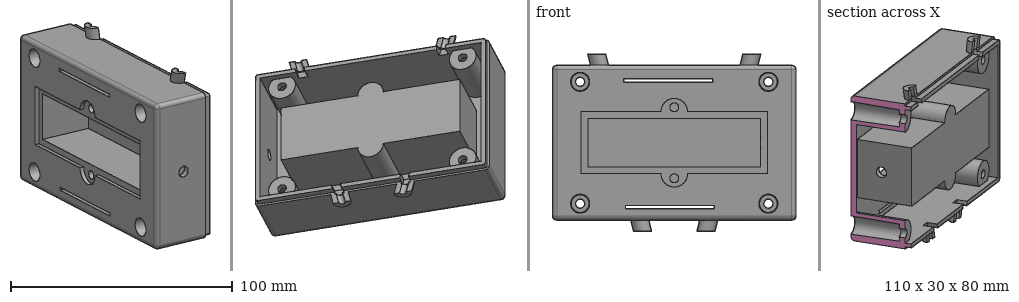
import cadquery as cq
import math

WIDTH = 110.0
DEPTH = 30.0
BODY_HEIGHT = 70.0
OVERALL_HEIGHT = 80.0
EDGE_RADIUS = 2.0
WALL = 3.0

RIM_HEIGHT = 3.0
RIM_INSET = 1.0

FRONT = -DEPTH / 2
BACK = DEPTH / 2
SPLIT = BACK - RIM_HEIGHT

WINDOW_WIDTH = 78.0
WINDOW_HEIGHT = 22.0
LEDGE_WIDTH = 3.0
LEDGE_DEPTH = 2.0
EAR_RADIUS = 6.0
DISPLAY_SCREW_Z = 16.0
DISPLAY_SCREW_RADIUS = 2.0
DISPLAY_SCREW_DEPTH = 10.0

RECESS_WIDTH = WINDOW_WIDTH + 2 * LEDGE_WIDTH
RECESS_HEIGHT = WINDOW_HEIGHT + 2 * LEDGE_WIDTH
LEDGE_Y = FRONT + LEDGE_DEPTH

WIRE_HOLE_RADIUS = 2.5

CORNER_SCREW_X = 42.5
CORNER_SCREW_Z = 27.5
CORNER_HOLE_RADIUS = 2.0
COUNTERBORE_FRONT_RADIUS = 4.3
COUNTERBORE_FLOOR_RADIUS = 4.0
COLUMN_RADIUS = 6.3
COLUMN_FLOOR = 3.0

SLOT_LENGTH = 40.0
SLOT_HEIGHT = 1.4
SLOT_CENTERS = [(-2.7, 28.1), (-2.0, -29.1)]

SPOUT_RADIUS = 4.0
CABLE_RADIUS = 1.5
NOTCH_WIDTH = 4.0
NOTCH_SINK = 2.0
SPOUT_ROOT = BODY_HEIGHT / 2 - 2 * WALL
SPOUT_LEAN = 14.0
TOP_SPOUT_X = 35.0
BOTTOM_SPOUT_X = 14.3
SPOUTS = [
    (-TOP_SPOUT_X, 1, -SPOUT_LEAN),
    (TOP_SPOUT_X, 1, SPOUT_LEAN),
    (-BOTTOM_SPOUT_X, -1, SPOUT_LEAN),
    (BOTTOM_SPOUT_X, -1, -SPOUT_LEAN),
]


def block(width, height, y_start, y_end, x=0.0, z=0.0):
    """Box centred on (x, z), running from y_start to y_end."""
    center = (x, (y_start + y_end) / 2, z)
    return cq.Workplane("XY").box(width, y_end - y_start, height).translate(center)


def rod(radius, y_start, y_end, x=0.0, z=0.0):
    """Cylinder along Y centred on (x, z), running from y_start to y_end."""
    base = cq.Vector(x, y_start, z)
    solid = cq.Solid.makeCylinder(radius, y_end - y_start, base, cq.Vector(0, 1, 0))
    return cq.Workplane(obj=solid)


def make_shell():
    """Rounded box with a stepped-in rim, hollow and open at the back."""
    body = block(WIDTH, BODY_HEIGHT, FRONT, SPLIT)
    body = body.edges("|Y").fillet(EDGE_RADIUS).faces("<Y").edges().fillet(EDGE_RADIUS)
    rim = block(WIDTH - 2 * RIM_INSET, BODY_HEIGHT - 2 * RIM_INSET, FRONT + WALL, BACK)
    rim = rim.edges("|Y").fillet(EDGE_RADIUS - RIM_INSET)
    cavity = block(WIDTH - 2 * WALL, BODY_HEIGHT - 2 * WALL, FRONT + WALL, BACK)
    return body.union(rim).cut(cavity)


def display_outline(y_start, y_end):
    """Rectangle with a round ear in the middle of its top and bottom sides."""
    shape = block(RECESS_WIDTH, RECESS_HEIGHT, y_start, y_end)
    for side in (1, -1):
        shape = shape.union(rod(EAR_RADIUS, y_start, y_end, z=side * RECESS_HEIGHT / 2))
    return shape


def add_display_housing(part):
    """Closed-back pocket for the display behind a recessed ledge."""
    part = part.union(display_outline(LEDGE_Y, BACK))
    part = part.cut(display_outline(FRONT, LEDGE_Y))
    part = part.cut(block(WINDOW_WIDTH, WINDOW_HEIGHT, LEDGE_Y, BACK - WALL))
    for side in (1, -1):
        screw_end = LEDGE_Y + DISPLAY_SCREW_DEPTH
        part = part.cut(rod(DISPLAY_SCREW_RADIUS, LEDGE_Y, screw_end, z=side * DISPLAY_SCREW_Z))
    wire_hole = cq.Workplane("YZ").circle(WIRE_HOLE_RADIUS).extrude(WIDTH / 2)
    return part.cut(wire_hole)


def tapered_counterbore(x, z):
    """Deep screw-head bore at (x, z), narrowing slightly toward its floor."""
    depth = SPLIT - COLUMN_FLOOR - FRONT
    cone = cq.Solid.makeCone(
        COUNTERBORE_FRONT_RADIUS,
        COUNTERBORE_FLOOR_RADIUS,
        depth,
        cq.Vector(x, FRONT, z),
        cq.Vector(0, 1, 0),
    )
    return cq.Workplane(obj=cone)


def add_corner_columns(part):
    """Counterbored screw columns from the front face to the split plane."""
    for x in (-CORNER_SCREW_X, CORNER_SCREW_X):
        for z in (-CORNER_SCREW_Z, CORNER_SCREW_Z):
            part = part.union(rod(COLUMN_RADIUS, FRONT + WALL, SPLIT, x, z))
            part = part.cut(tapered_counterbore(x, z))
            part = part.cut(rod(CORNER_HOLE_RADIUS, FRONT, SPLIT, x, z))
    return part


def cut_slots(part):
    for x, z in SLOT_CENTERS:
        part = part.cut(block(SLOT_LENGTH, SLOT_HEIGHT, FRONT, FRONT + WALL, x, z))
    return part


def leaning(section, end_x, side, lean):
    """Extrude a section along the lean, from beyond the spout end to inside the wall."""
    slant = 1 / math.cos(math.radians(lean))
    inward = (OVERALL_HEIGHT / 2 - SPOUT_ROOT) * slant
    outward = SPOUT_RADIUS
    shape = section.extrude(inward + outward).translate((0, 0, -inward))
    shape = shape.rotate((0, 0, 0), (0, 1, 0), lean)
    shape = shape.translate((end_x, SPLIT, OVERALL_HEIGHT / 2))
    return shape if side > 0 else shape.mirror("XY")


def add_spout(part, end_x, side, lean):
    """Leaning half-round spout with a cable groove and a notch through the rim."""
    spout = leaning(cq.Workplane("XY").circle(SPOUT_RADIUS), end_x, side, lean)
    zone_height = (OVERALL_HEIGHT - BODY_HEIGHT) / 2
    zone_z = side * (OVERALL_HEIGHT - zone_height) / 2
    part = part.union(spout.intersect(block(WIDTH, zone_height, FRONT, SPLIT, z=zone_z)))
    groove = leaning(cq.Workplane("XY").circle(CABLE_RADIUS), end_x, side, lean)
    outside_zone = block(WIDTH, zone_height, FRONT, BACK, z=zone_z)
    notch_depth = RIM_HEIGHT + NOTCH_SINK
    notch_center = (RIM_HEIGHT - NOTCH_SINK) / 2
    section = cq.Workplane("XY").center(0, notch_center).rect(NOTCH_WIDTH, notch_depth)
    notch = leaning(section, end_x, side, lean)
    inside_zone = block(WIDTH, BODY_HEIGHT, FRONT, BACK)
    return part.cut(groove.intersect(outside_zone)).cut(notch.intersect(inside_zone))


result = make_shell()
result = add_display_housing(result)
result = add_corner_columns(result)
result = cut_slots(result)
for end_x, side, lean in SPOUTS:
    result = add_spout(result, end_x, side, lean)